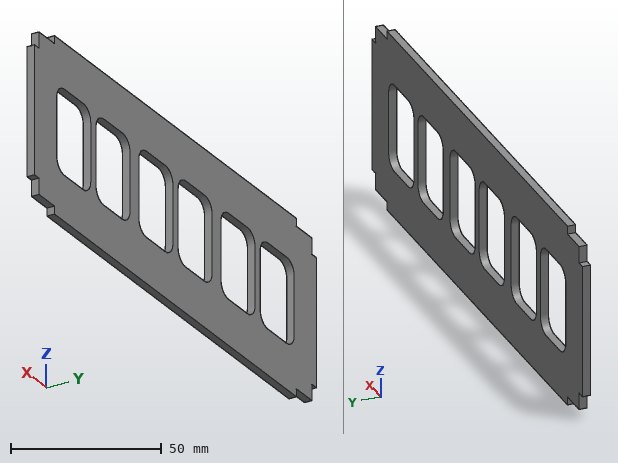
import cadquery as cq

length = 183.5
height = 66.2
thickness = 3.0

tab_depth = thickness
long_tab_width = 157.5
end_tab_width = 48.2

window_width = 22.0
window_height = 32.0
window_corner_radius = 5.0
window_pitch = 25.5
pair_pitch = 53.4
pair_count = 3


def upright_block(size_x, size_z):
    """Block of plate thickness centred on the origin."""
    return cq.Workplane("XY").box(size_x, thickness, size_z)


def stepped_plate():
    """Core rectangle with long tabs above and below and a tab at each end."""
    core = upright_block(length - 2 * tab_depth, height - 2 * tab_depth)
    long_tabs = upright_block(long_tab_width, height)
    end_tabs = upright_block(length, end_tab_width)
    return core.union(long_tabs).union(end_tabs).clean()


def window_centres():
    """Window centres along X, two per pair, symmetric about the middle."""
    centres = []
    for pair in range(pair_count):
        pair_centre = (pair - (pair_count - 1) / 2) * pair_pitch
        for side in (-1, 1):
            centres.append((pair_centre + side * window_pitch / 2, 0))
    return centres


def window_cutters():
    """Rounded blocks that pass right through the plate."""
    window = upright_block(window_width, window_height).edges("|Y").fillet(window_corner_radius)
    return cq.Workplane("XY").pushPoints(window_centres()).eachpoint(window.val(), combine=False)


result = stepped_plate().cut(window_cutters())